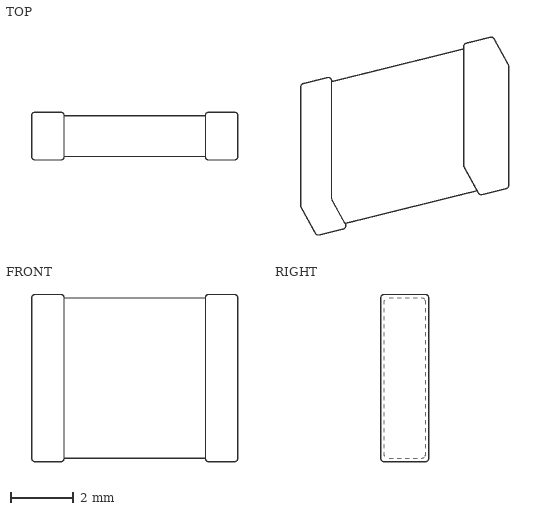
import cadquery as cq

length = 6.65
depth = 1.55
height = 5.4

cap_length = 1.05
edge_radius = 0.11

setback = 0.11
body_length = length - 2 * cap_length
body_depth = depth - 2 * setback
body_height = height - 2 * setback


def make_chip_body():
    """Block between the caps, with its four long edges rounded."""
    return cq.Workplane("XY").box(body_length, body_depth, body_height).edges("|X").fillet(edge_radius)


def make_end_cap(side):
    """Terminal block with every edge rounded; side is -1 or +1 along X."""
    center_x = side * (length - cap_length) / 2
    cap = cq.Workplane("XY").box(cap_length, depth, height).edges().fillet(edge_radius)
    return cap.translate((center_x, 0, 0))


chip_body = make_chip_body()
end_caps = [make_end_cap(side) for side in (-1, 1)]

result = cq.Compound.makeCompound([chip_body.val(), *[cap.val() for cap in end_caps]])